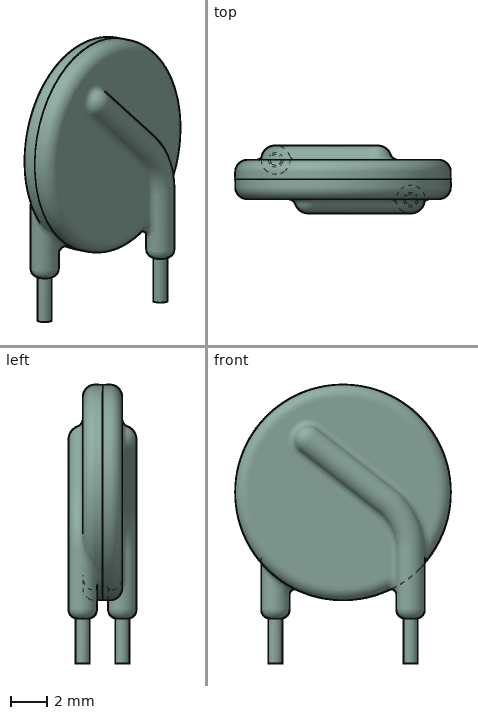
import cadquery as cq
import math

disc_radius = 6.0
half_thickness = 1.1
rim_round = 0.7

overall_depth = 3.8
sleeve_radius = overall_depth / 2 - half_thickness
sleeve_bottom = -7.0
sleeve_bottom_round = 0.5
blend_radius = 0.4
joint_tolerance = 0.002
edge_stations = (0.25, 0.5, 0.75)

leg_x = 3.75
tip_x = -1.9
tip_z = 2.93
slope_angle = math.radians(38)
bend_radius = 3.5

wire_radius = 0.4
overall_height = 15.5
wire_bottom = disc_radius - overall_height


def make_half_disc():
    """Half of the disc, from Y = 0 toward -Y, with its outer edge rounded."""
    disc = cq.Workplane("XZ").circle(disc_radius).extrude(half_thickness)
    return disc.faces("<Y").edges().fillet(rim_round)


def make_sleeve():
    """Bent round sleeve with a domed upper tip and a rounded lower end."""
    corner_z = tip_z - (leg_x - tip_x) * math.tan(slope_angle)
    turn_angle = math.pi / 2 - slope_angle
    tangent_length = bend_radius * math.tan(turn_angle / 2)
    bend_start_z = corner_z - tangent_length
    bend_end_x = leg_x - tangent_length * math.cos(slope_angle)
    bend_end_z = corner_z + tangent_length * math.sin(slope_angle)
    bend_center_x = leg_x - bend_radius
    bend_middle_x = bend_center_x + bend_radius * math.cos(turn_angle / 2)
    bend_middle_z = bend_start_z + bend_radius * math.sin(turn_angle / 2)

    axis_path = (
        cq.Workplane("XZ", origin=(0, -half_thickness, 0))
        .moveTo(leg_x, sleeve_bottom)
        .lineTo(leg_x, bend_start_z)
        .threePointArc((bend_middle_x, bend_middle_z), (bend_end_x, bend_end_z))
        .lineTo(tip_x, tip_z)
    )
    tube = (
        cq.Workplane("XY", origin=(leg_x, -half_thickness, sleeve_bottom))
        .circle(sleeve_radius)
        .sweep(axis_path)
        .faces("<Z").edges().fillet(sleeve_bottom_round)
    )
    dome = cq.Workplane("XY", origin=(tip_x, -half_thickness, tip_z)).sphere(sleeve_radius)
    return tube.union(dome)


def make_wire():
    """Straight bare wire leaving the bottom of the sleeve."""
    return (
        cq.Workplane("XY", origin=(leg_x, -half_thickness, wire_bottom))
        .circle(wire_radius)
        .extrude(sleeve_bottom - wire_bottom)
    )


def make_coated_half():
    """Half disc joined to its sleeve and wire, with the joint line blended."""
    disc = make_half_disc()
    sleeve = make_sleeve()
    disc_skin = disc.val().Shells()[0]
    sleeve_skin = sleeve.val().Shells()[0]

    def on_joint(edge):
        """True where the edge lies on the disc and on the sleeve alike."""
        stations = [edge.positionAt(share) for share in edge_stations]
        points = [cq.Vertex.makeVertex(*station.toTuple()) for station in stations]
        on_disc = all(disc_skin.distance(point) < joint_tolerance for point in points)
        on_sleeve = all(sleeve_skin.distance(point) < joint_tolerance for point in points)
        return on_disc and on_sleeve

    body = disc.union(sleeve)
    joint_edges = [edge for edge in body.edges().vals() if on_joint(edge)]
    body = body.newObject(joint_edges).fillet(blend_radius)
    return body.union(make_wire())


coated_half = make_coated_half().val()
half_turns = (0, 180)
halves = [coated_half.rotate(cq.Vector(0, 0, 0), cq.Vector(0, 0, 1), angle) for angle in half_turns]

result = cq.Compound.makeCompound(halves)